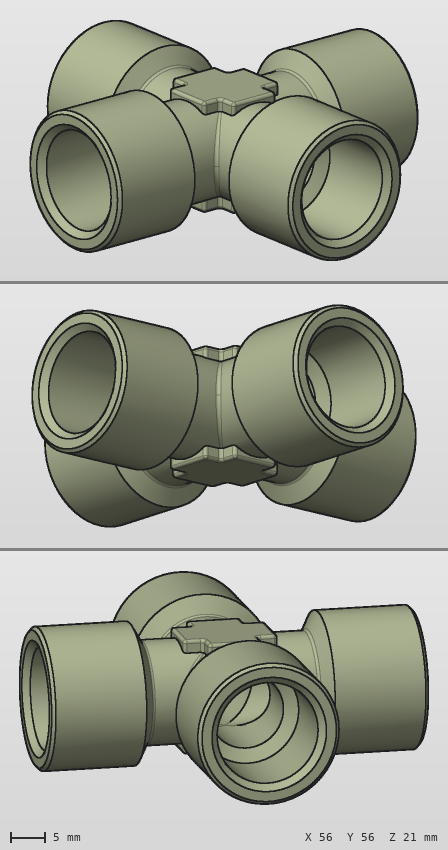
import cadquery as cq
import math

SPAN = 56.0
COLLAR_DIAMETER = 21.0
NECK_DIAMETER = 15.35

COLLAR_LENGTH = 14.0
COLLAR_CHAMFER = 0.5
SHOULDER_ANGLE = 60.0
NECK_FILLET = 0.5
CROTCH_FILLET = 0.5

PASSAGE_DIAMETER = 11.05
SOCKET_DIAMETER = 15.0
MOUTH_DIAMETER = 17.0
SOCKET_DEPTH = 13.0
MOUTH_ANGLE = 45.0
SOCKET_FLOOR_ANGLE = 60.0

PAD_SPAN = 14.0
PAD_ARM_WIDTH = 7.95
PAD_TOP = 8.5
PAD_FILLET = 0.5
PAD_CORNER_FILLET = 0.5

half_span = SPAN / 2
collar_radius = COLLAR_DIAMETER / 2
neck_radius = NECK_DIAMETER / 2
passage_radius = PASSAGE_DIAMETER / 2
socket_radius = SOCKET_DIAMETER / 2
mouth_radius = MOUTH_DIAMETER / 2

collar_start = half_span - COLLAR_LENGTH
shoulder_length = (collar_radius - neck_radius) / math.tan(math.radians(SHOULDER_ANGLE))
shoulder_start = collar_start - shoulder_length

mouth_depth = (mouth_radius - socket_radius) / math.tan(math.radians(MOUTH_ANGLE))
socket_end = half_span - SOCKET_DEPTH
floor_length = (socket_radius - passage_radius) / math.tan(math.radians(SOCKET_FLOOR_ANGLE))


def revolve_about_x(outline):
    """Close an outline of (x, radius) points and turn it about the X axis."""
    return cq.Workplane("XY").polyline(outline).close().revolve(360, (0, 0, 0), (1, 0, 0))


def on_four_arms(shape):
    """Join four copies of a +X shape, one for each arm of the cross."""
    joined = shape
    for angle in (90, 180, 270):
        joined = joined.union(shape.rotate((0, 0, 0), (0, 0, 1), angle))
    return joined


def centred_zone(half_side, half_height):
    """Selector for edges centred inside a square block about the origin."""
    return cq.selectors.BoxSelector(
        (-half_side, -half_side, -half_height),
        (half_side, half_side, half_height),
    )


def pads():
    """A plus-shaped block whose two ends form the upper and lower pads."""
    along_x = cq.Workplane("XY").box(PAD_SPAN, PAD_ARM_WIDTH, 2 * PAD_TOP)
    along_y = cq.Workplane("XY").box(PAD_ARM_WIDTH, PAD_SPAN, 2 * PAD_TOP)
    plus = along_x.union(along_y)

    vertical = cq.selectors.StringSyntaxSelector("|Z")

    inner_zone = centred_zone((PAD_ARM_WIDTH + PAD_SPAN) / 4, PAD_TOP)
    plus = plus.edges(vertical & inner_zone).fillet(PAD_CORNER_FILLET)

    rims = plus.faces("|Z").edges()
    outer_corners = plus.edges(vertical - inner_zone)
    return rims.add(outer_corners).fillet(PAD_FILLET)


def fillet_crotches(solid):
    """Round the curved seams where neighbouring necks meet, up to the pads."""
    between_pad_rims = centred_zone(PAD_SPAN, PAD_TOP - PAD_FILLET)
    seams = solid.edges("%ELLIPSE").edges(between_pad_rims)
    return seams.fillet(CROTCH_FILLET)


def collar():
    """Shoulder and chamfered collar of the +X arm, with a fillet at the neck."""
    outline = [
        (0, 0),
        (0, neck_radius),
        (shoulder_start, neck_radius),
        (collar_start, collar_radius),
        (half_span - COLLAR_CHAMFER, collar_radius),
        (half_span, collar_radius - COLLAR_CHAMFER),
        (half_span, 0),
    ]
    solid = revolve_about_x(outline)
    neck_end = cq.selectors.NearestToPointSelector((shoulder_start, 0, 0))
    return solid.edges("%CIRCLE").edges(neck_end).fillet(NECK_FILLET)


def socket():
    """Passage, conical floor, socket and flared mouth of the +X arm."""
    outline = [
        (0, 0),
        (0, passage_radius),
        (socket_end - floor_length, passage_radius),
        (socket_end, socket_radius),
        (half_span - mouth_depth, socket_radius),
        (half_span, mouth_radius),
        (half_span, 0),
    ]
    return revolve_about_x(outline)


arms = on_four_arms(collar())
body = fillet_crotches(arms.union(pads()))
result = body.cut(on_four_arms(socket()))